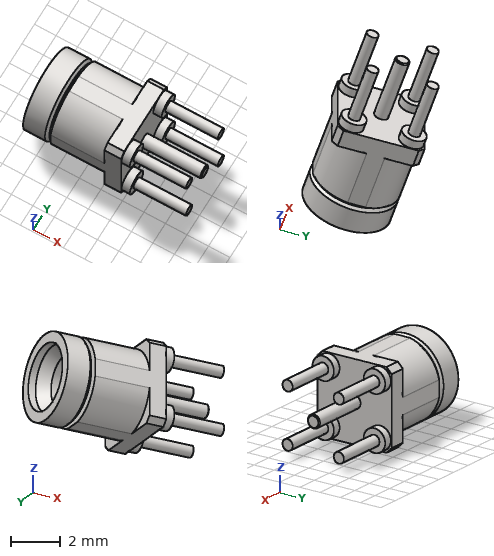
import cadquery as cq

head_end = 1.15
groove_end = 1.27
plate_start = 3.765
plate_end = 4.54
standoff_end = 4.93
overall_length = 7.37

body_diameter = 3.76
groove_diameter = 3.05
square_side = 3.683
head_chamfer = 0.127
plate_corner_chamfer = 0.254

entry_diameter = 2.85
bore_diameter = 2.21
taper_start = 0.34
taper_end = 0.87
bore_depth = 2.5

recess_diameter = 0.91
recess_depth = 0.25
contact_shoulder_diameter = 0.61
contact_tip_diameter = 0.30
contact_tip_length = 1.2

leg_offset = 1.27
leg_diameter = 0.51
standoff_diameter = 1.067
tail_diameter = 0.61
tail_chamfer = 0.05


def rod(diameter, start, end, y=0, z=0):
    """Cylinder parallel to X between two axial stations."""
    return (
        cq.Workplane("YZ", origin=(start, y, z))
        .circle(diameter / 2)
        .extrude(end - start)
    )


def square_bar(start, end):
    """Square prism centred on the X axis between two axial stations."""
    return (
        cq.Workplane("YZ", origin=(start, 0, 0))
        .rect(square_side, square_side)
        .extrude(end - start)
    )


def outer_body():
    """Round head, groove, four-flatted barrel and square mounting plate."""
    head = rod(body_diameter, 0, head_end).faces(">X").chamfer(head_chamfer)
    neck = rod(groove_diameter, 0, plate_end)
    barrel = rod(body_diameter, groove_end, plate_start)
    flatted_barrel = barrel.intersect(square_bar(groove_end, plate_start))
    plate = square_bar(plate_start, plate_end).edges("|X").chamfer(plate_corner_chamfer)
    return head.union(neck).union(flatted_barrel).union(plate)


def mating_bore():
    """Round bore narrowing through a conical taper to a flat floor."""
    return (
        cq.Workplane("XY")
        .lineTo(0, entry_diameter / 2)
        .lineTo(taper_start, entry_diameter / 2)
        .lineTo(taper_end, bore_diameter / 2)
        .lineTo(bore_depth, bore_diameter / 2)
        .lineTo(bore_depth, 0)
        .close()
        .revolve(360, (0, 0, 0), (1, 0, 0))
    )


def contact_recess():
    """Annular recess in the bore floor, leaving the contact shoulder flush with it."""
    recess_end = bore_depth + recess_depth
    shoulder = rod(contact_shoulder_diameter, bore_depth, recess_end)
    return rod(recess_diameter, bore_depth, recess_end).cut(shoulder)


def contact_tip():
    """Slim contact pin with a hemispherical end facing the mating face."""
    tip_radius = contact_tip_diameter / 2
    dome_centre = bore_depth - contact_tip_length + tip_radius
    dome = cq.Workplane("XY", origin=(dome_centre, 0, 0)).sphere(tip_radius)
    return rod(contact_tip_diameter, dome_centre, bore_depth + recess_depth).union(dome)


def corner_leg(y, z):
    """Ground leg with a standoff collar against the mounting plate."""
    standoff = rod(standoff_diameter, plate_end, standoff_end, y, z)
    return standoff.union(rod(leg_diameter, plate_end, overall_length, y, z))


def centre_tail():
    """Signal tail behind the plate, chamfered at its free end."""
    return rod(tail_diameter, plate_end, overall_length).faces(">X").chamfer(tail_chamfer)


result = outer_body().cut(mating_bore()).cut(contact_recess())
result = result.union(contact_tip()).union(centre_tail())
for leg_y in (-leg_offset, leg_offset):
    for leg_z in (-leg_offset, leg_offset):
        result = result.union(corner_leg(leg_y, leg_z))